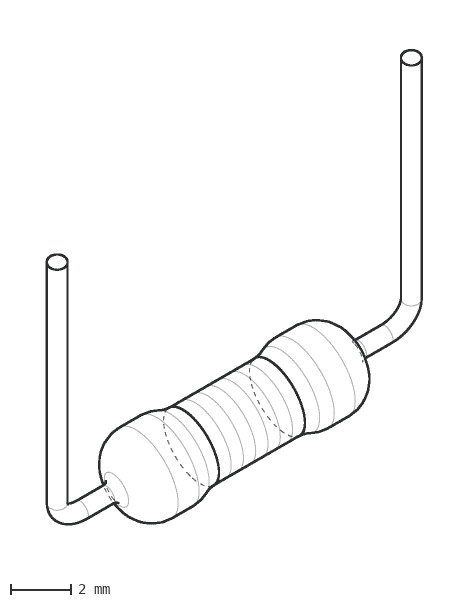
import cadquery as cq
import math


wire_diameter = 0.7
lead_pitch = 15.0
lead_top = 12.85
bend_radius = 1.5 * wire_diameter

body_length = 10.0
cap_diameter = 3.5
dome_radius = 1.25
collar_radius = 0.35

neck_diameter = 3.0
band_diameter = 2.98
band_width = 0.52
band_count = 7
transition_length = 2 * band_width

wire_radius = wire_diameter / 2
cap_radius = cap_diameter / 2
neck_radius = neck_diameter / 2
waist_end = band_count * band_width / 2
cap_start = waist_end + transition_length
lead_y = lead_pitch / 2
bend_start = lead_y - bend_radius

transition_rise = cap_radius - neck_radius
transition_radius = (transition_length**2 + transition_rise**2) / (4 * transition_rise)

dome_center_r = cap_radius - dome_radius
dome_center_y = body_length / 2 - dome_radius
collar_center_r = wire_radius + collar_radius
collar_rise = collar_center_r - dome_center_r
center_distance = dome_radius + collar_radius
collar_center_y = dome_center_y + math.sqrt(center_distance**2 - collar_rise**2)
collar_angle = math.asin(collar_rise / center_distance)


def arc_point(center_r, center_y, radius, angle):
    """Point on a profile arc; the angle runs from +Y towards growing radius."""
    return (center_r + radius * math.sin(angle), center_y + radius * math.cos(angle))


def half_body():
    """Cap, dome, collar and waist transition at the +Y end, revolved about Y."""
    dome_mid = arc_point(dome_center_r, dome_center_y, dome_radius, (math.pi / 2 + collar_angle) / 2)
    dome_end = arc_point(dome_center_r, dome_center_y, dome_radius, collar_angle)
    collar_mid_angle = (math.pi + collar_angle + 3 * math.pi / 2) / 2
    collar_mid = arc_point(collar_center_r, collar_center_y, collar_radius, collar_mid_angle)
    transition_mid = ((neck_radius + cap_radius) / 2, waist_end + transition_length / 2)
    profile = (
        cq.Workplane("XY")
        .moveTo(0, waist_end)
        .lineTo(neck_radius, waist_end)
        .radiusArc(transition_mid, transition_radius)
        .radiusArc((cap_radius, cap_start), -transition_radius)
        .lineTo(cap_radius, dome_center_y)
        .threePointArc(dome_mid, dome_end)
        .threePointArc(collar_mid, (wire_radius, collar_center_y))
        .lineTo(0, collar_center_y)
        .close()
    )
    return profile.revolve(360, (0, 0, 0), (0, 1, 0))


def waist():
    """Row of flush bands; the faces are left unmerged so that every band keeps its own."""
    bands = cq.Workplane("XZ", origin=(0, -waist_end, 0)).circle(band_diameter / 2).extrude(-band_width)
    for index in range(1, band_count):
        start = index * band_width - waist_end
        band = cq.Workplane("XZ", origin=(0, start, 0)).circle(band_diameter / 2).extrude(-band_width)
        bands = bands.union(band, clean=False)
    return bands


def lead():
    """Wire leaving the +Y collar, bent up and running straight to the top."""
    path = (
        cq.Workplane("YZ")
        .moveTo(collar_center_y, 0)
        .lineTo(bend_start, 0)
        .radiusArc((lead_y, bend_radius), -bend_radius)
        .lineTo(lead_y, lead_top)
    )
    section = cq.Workplane("XZ", origin=(0, collar_center_y, 0)).circle(wire_radius)
    return section.sweep(path)


plus_y_end = half_body().union(lead())
minus_y_end = plus_y_end.mirror("XZ")
result = waist().union(plus_y_end, clean=False).union(minus_y_end, clean=False)